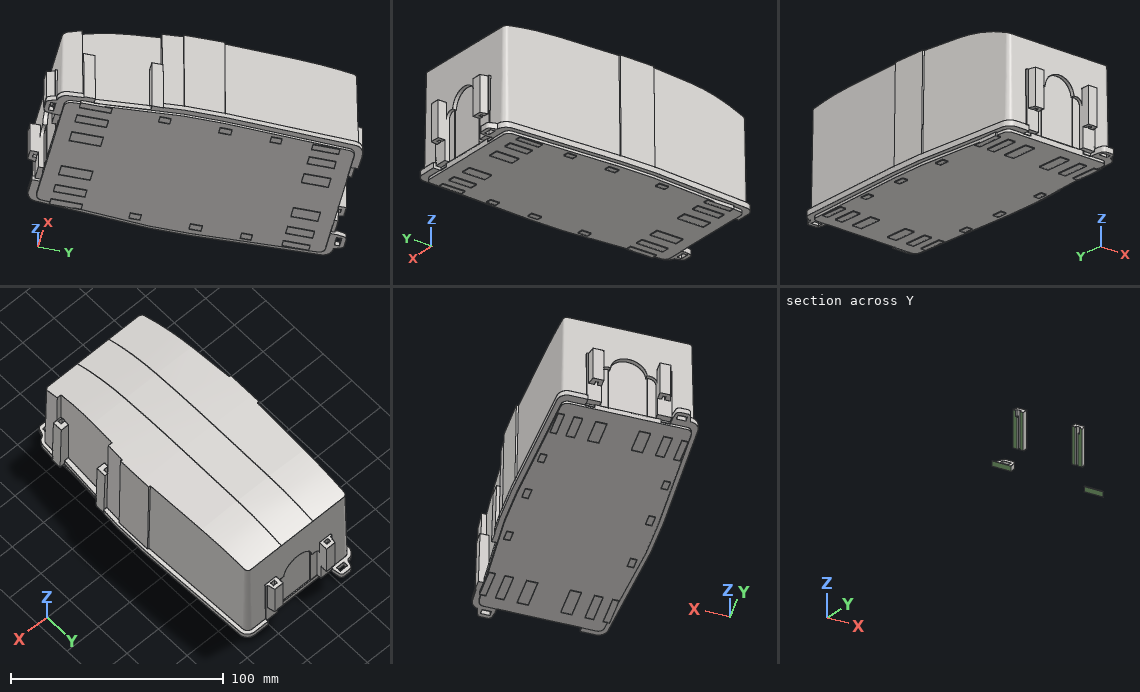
import cadquery as cq

LENGTH = 157.0
WIDTH = 74.7
HEIGHT = 60.6

FOOT_HEIGHT = 0.5
FLANGE_BOTTOM = 1.9
FLANGE_TOP = 4.9

WAIST_BACK = 6.1
WAIST_FRONT = -13.7

FLANGE_END = 74.0
FLANGE_BACK_HALF = 34.5
FLANGE_FRONT_HALF = 33.1
FLANGE_CORNER = 5.0

WALL_END = 72.0
WALL_WAIST_HALF = 35.2
WALL_BACK_HALF = 32.7
WALL_FRONT_HALF = 31.5
WALL_CORNER = 3.1
WALL_DRAFT = 1.0
SIDE_PANEL_STEP = 0.8

LIP_INSET = 2.5
LIP_END = 70.0

ROOF_BACK_SEAM = 40.5
ROOF_MIDDLE_SEAM = 1.7
ROOF_FRONT_SEAM = -37.7
ROOF_STRIP_HALF = 10.0
ROOF_BACK_Z = 56.7
ROOF_FRONT_SEAM_Z = 59.0
ROOF_FRONT_Z = 50.0
STRIP_DROP = 0.3
ROOF_SIDE_DROP = 1.4
ROOF_SEAM_DROP = 0.8

CLIP_INNER = 13.8
CLIP_OUTER = 20.1
CLIP_TIP_OUTER = 19.2
CLIP_END = 76.5
CLIP_BOTTOM = 14.3
CLIP_TOP = 34.2
CLIP_PLATE_OUTER = 21.0
CLIP_PLATE_END = 72.5
CLIP_HOLE_Y = (72.5, 74.4)
CLIP_HOLE_X = (15.9, 17.3)
CLIP_POCKET_OUTER = 18.2
CLIP_POCKET_DEPTH = 3.1
EAR_INNER = 20.9
EAR_OUTER = 29.7
EAR_TIP_OUTER = 28.1
EAR_TIP_INNER = 21.7
EAR_CORNER = 1.9
EAR_SLOT_X = (22.8, 27.3)
EAR_SLOT_Y = (73.8, 76.3)

SHOULDER_Y = 69.9
SHOULDER_TOP = 28.9
SHOULDER_RADIUS = 3.5
ARCH_Y = 69.4
ARCH_HALF = 9.5
ARCH_RADIUS = 9.0
ARCH_TOP = 37.2
SILL_TOP = 3.5
SILL_HALF = 16.3
SILL_STEP = 0.5

BAY_BACK = -23.9
BAY_FRONT = -61.9
BAY_BACK_WALL = 31.2
BAY_FRONT_WALL = 28.9
BAY_BACK_LEDGE = 3.1
BAY_FRONT_LEDGE = 2.4
GUIDE_LENGTH = 5.5
GUIDE_BACK_OUTER = 36.5
GUIDE_FRONT_OUTER = 34.5
GUIDE_DRAFT = 0.8
GROOVE_WIDTH = 2.5
GROOVE_LENGTH = 2.0
GROOVE_WALL = 0.8

SIDE_FOOT_X = (28.9, 32.0)
SIDE_FEET_Y = ((49.5, 62.5), (29.4, 34.5), (4.5, 10.4), (-24.5, -19.2), (-62.8, -47.5))
END_FEET_X = ((20.0, 24.2), (8.0, 13.5))
END_FEET_Y = (SIDE_FEET_Y[0], SIDE_FEET_Y[-1])


def box(xs, ys, zs):
    """Box spanning the given X, Y and Z ranges, each in any order."""
    sizes = [abs(r[1] - r[0]) for r in (xs, ys, zs)]
    centre = tuple((r[0] + r[1]) / 2 for r in (xs, ys, zs))
    return cq.Workplane("XY").box(*sizes).translate(centre)


def prism(points, bottom, top):
    """Upright prism over an XY polygon."""
    return cq.Workplane("XY").workplane(offset=bottom).polyline(points).close().extrude(top - bottom)


def plan(waist, back, front, end, corner):
    """Barrel-shaped XY outline with a straight waist and rounded corners."""
    right = [(front, -end), (waist, WAIST_FRONT), (waist, WAIST_BACK), (back, end)]
    left = [(-x, y) for x, y in reversed(right)]
    outline = right + left
    return cq.Sketch().polygon(outline + outline[:1]).vertices(">Y or <Y").fillet(corner)


def slab(outline, bottom, top, draft=0):
    return cq.Workplane("XY").workplane(offset=bottom).placeSketch(outline).extrude(top - bottom, taper=draft)


def both_sides(shape):
    return shape.union(shape.mirror("YZ"))


def both_ends(shape):
    return shape.union(shape.mirror("XZ"))


def roof_envelope():
    """Everything below the roof: ruled between arched profiles, lower at the sides."""

    def profile(flow, crown_drop, seam_drop):
        crown = HEIGHT - crown_drop
        seam = ROOF_FRONT_SEAM_Z - seam_drop
        return (
            flow.moveTo(-LENGTH / 2, 0)
            .lineTo(LENGTH / 2, 0)
            .lineTo(LENGTH / 2, ROOF_BACK_Z)
            .lineTo(WALL_END, ROOF_BACK_Z)
            .threePointArc(*back_arc(crown))
            .lineTo(ROOF_MIDDLE_SEAM, crown)
            .tangentArcPoint((ROOF_FRONT_SEAM, seam), relative=False)
            .tangentArcPoint((-WALL_END, ROOF_FRONT_Z), relative=False)
            .lineTo(-LENGTH / 2, ROOF_FRONT_Z)
            .close()
        )

    def back_arc(crown):
        """Middle and end points of an arc that rises from the back wall and levels out."""
        run = WALL_END - ROOF_BACK_SEAM
        rise = crown - ROOF_BACK_Z
        middle = (ROOF_BACK_SEAM + run / 2, crown - rise / 4)
        return middle, (ROOF_BACK_SEAM, crown)

    strip = profile(cq.Workplane("YZ", origin=(-ROOF_STRIP_HALF, 0, 0)), STRIP_DROP, STRIP_DROP)
    strip = strip.extrude(2 * ROOF_STRIP_HALF)
    side = profile(cq.Workplane("YZ", origin=(ROOF_STRIP_HALF, 0, 0)), 0, 0)
    side = profile(side.workplane(offset=WIDTH / 2 - ROOF_STRIP_HALF), ROOF_SIDE_DROP, ROOF_SEAM_DROP)
    return strip.union(both_sides(side.loft(ruled=True)))


def housing():
    walls = slab(
        plan(WALL_WAIST_HALF, WALL_BACK_HALF, WALL_FRONT_HALF, WALL_END, WALL_CORNER),
        FLANGE_BOTTOM, HEIGHT, WALL_DRAFT,
    )
    panel_half = WALL_WAIST_HALF + SIDE_PANEL_STEP
    waist = (WAIST_FRONT, WAIST_BACK)
    panels = (
        box((-panel_half, panel_half), waist, (FLANGE_BOTTOM, HEIGHT))
        .faces("<X or >X").edges("|Y and >Z").chamfer(HEIGHT - FLANGE_TOP, SIDE_PANEL_STEP)
    )
    return walls.union(panels).intersect(roof_envelope())


def flange():
    """Rim around the foot, left out between the ears on both ends."""
    rim = slab(
        plan(WIDTH / 2, FLANGE_BACK_HALF, FLANGE_FRONT_HALF, FLANGE_END, FLANGE_CORNER),
        FLANGE_BOTTOM, FLANGE_TOP,
    )
    gap = both_ends(box((-EAR_INNER, EAR_INNER), (WALL_END, LENGTH / 2), (0, FLANGE_TOP)))
    return rim.cut(gap)


def lip():
    return slab(
        plan(WIDTH / 2 - LIP_INSET, FLANGE_BACK_HALF - LIP_INSET, FLANGE_FRONT_HALF - LIP_INSET,
             LIP_END, WALL_CORNER),
        FOOT_HEIGHT, FLANGE_BOTTOM,
    )


def feet():
    pads = cq.Workplane("XY")
    for ys in SIDE_FEET_Y:
        pads = pads.union(box(SIDE_FOOT_X, ys, (0, FLANGE_BOTTOM)))
    for xs in END_FEET_X:
        for ys in END_FEET_Y:
            pads = pads.union(box(xs, ys, (0, FLANGE_BOTTOM)))
    return both_sides(pads)


def ear():
    """Slotted screw ear on the back-left corner."""
    root = WALL_END - WALL_CORNER
    outline = [
        (-EAR_OUTER, root), (-EAR_OUTER, FLANGE_END), (-EAR_TIP_OUTER, LENGTH / 2),
        (-EAR_TIP_INNER, LENGTH / 2), (-EAR_INNER, FLANGE_END), (-EAR_INNER, root),
    ]
    plate = prism(outline, FLANGE_BOTTOM, FLANGE_TOP)
    return plate.edges("|Z and >Y").fillet(EAR_CORNER)


def ear_slot():
    xs = [-x for x in EAR_SLOT_X]
    return box(xs, EAR_SLOT_Y, (0, HEIGHT))


def half_turn(shape):
    """The shape and its copy turned half round about Z."""
    return shape.union(shape.rotate((0, 0, 0), (0, 0, 1), 180))


def clip():
    """Tapered clip post on a thin backing plate, at the back right."""
    root = WALL_END - WALL_CORNER
    plate = box((CLIP_INNER, CLIP_PLATE_OUTER), (root, CLIP_PLATE_END), (SILL_TOP, CLIP_TOP))
    outline = [
        (CLIP_INNER, root), (CLIP_OUTER, root), (CLIP_OUTER, CLIP_PLATE_END),
        (CLIP_TIP_OUTER, CLIP_END), (CLIP_INNER, CLIP_END),
    ]
    post = prism(outline, CLIP_BOTTOM, CLIP_TOP)
    hole = box(CLIP_HOLE_X, CLIP_HOLE_Y, (CLIP_BOTTOM, CLIP_TOP))
    pocket = box((CLIP_HOLE_X[0], CLIP_POCKET_OUTER), CLIP_HOLE_Y, (CLIP_TOP - CLIP_POCKET_DEPTH, CLIP_TOP))
    return plate.union(post).cut(hole).cut(pocket)


def knock_out():
    """Stepped recess in the back wall: shouldered outer part, deeper arch."""
    depth = LENGTH / 2
    shoulder = (
        box((-CLIP_INNER, CLIP_INNER), (SHOULDER_Y, depth), (FLANGE_BOTTOM, SHOULDER_TOP))
        .edges("|Y and >Z").fillet(SHOULDER_RADIUS)
    )
    door = box((-ARCH_HALF, ARCH_HALF), (ARCH_Y, depth), (FLANGE_BOTTOM, SHOULDER_TOP))
    arch = (
        cq.Workplane("XZ", origin=(0, ARCH_Y, ARCH_TOP - ARCH_RADIUS))
        .circle(ARCH_RADIUS).extrude(ARCH_Y - depth)
    )
    return shoulder.union(door).union(arch)


def sill():
    """Low step flush with the lip, under the knock-out."""
    return box((-SILL_HALF, SILL_HALF), (ARCH_Y - WALL_CORNER, LIP_END), (FOOT_HEIGHT, SILL_TOP))


def sill_clearance():
    """Space under the end wall, between the ear and the flange."""
    return box((-EAR_INNER, EAR_INNER), (LIP_END - SILL_STEP, LENGTH / 2), (FLANGE_BOTTOM, SILL_TOP))


def bay_strip(back_ledge, front_ledge, bottom):
    """Bay cutter, everything outside the sloping bay wall moved out by the ledge."""
    outline = [
        (BAY_BACK_WALL + back_ledge, BAY_BACK), (BAY_FRONT_WALL + front_ledge, BAY_FRONT),
        (WIDTH, BAY_FRONT), (WIDTH, BAY_BACK),
    ]
    return prism(outline, bottom, HEIGHT)


def guide(wall, outer, bay_end, inward):
    """Grooved door guide at one end of the bay; inward is the Y direction into the bay."""
    root = wall - WALL_CORNER
    outline = [
        (root, FLANGE_BOTTOM), (outer, FLANGE_BOTTOM), (outer - GUIDE_DRAFT, CLIP_TOP), (root, CLIP_TOP),
    ]
    post = (
        cq.Workplane("XZ", origin=(0, bay_end, 0))
        .polyline(outline).close().extrude(-inward * GUIDE_LENGTH)
    )
    groove_start = bay_end + inward * GROOVE_WALL
    groove = box(
        (wall, wall + GROOVE_WIDTH),
        (groove_start, groove_start + inward * GROOVE_LENGTH),
        (FLANGE_TOP, CLIP_TOP),
    )
    return post, groove


def add_door_bay(body):
    body = body.cut(bay_strip(0, 0, FLANGE_TOP)).cut(bay_strip(BAY_BACK_LEDGE, BAY_FRONT_LEDGE, 0))
    guides = (
        guide(BAY_BACK_WALL, GUIDE_BACK_OUTER, BAY_BACK, -1),
        guide(BAY_FRONT_WALL, GUIDE_FRONT_OUTER, BAY_FRONT, 1),
    )
    for post, groove in guides:
        body = body.union(post).cut(groove)
    return body


body = housing().union(flange())
body = add_door_bay(body)
body = body.union(lip()).union(half_turn(ear())).cut(half_turn(ear_slot()))
body = body.cut(both_ends(knock_out())).cut(both_ends(sill_clearance()))
body = body.union(both_ends(sill()))
body = body.union(both_ends(both_sides(clip())))
result = body.union(feet())